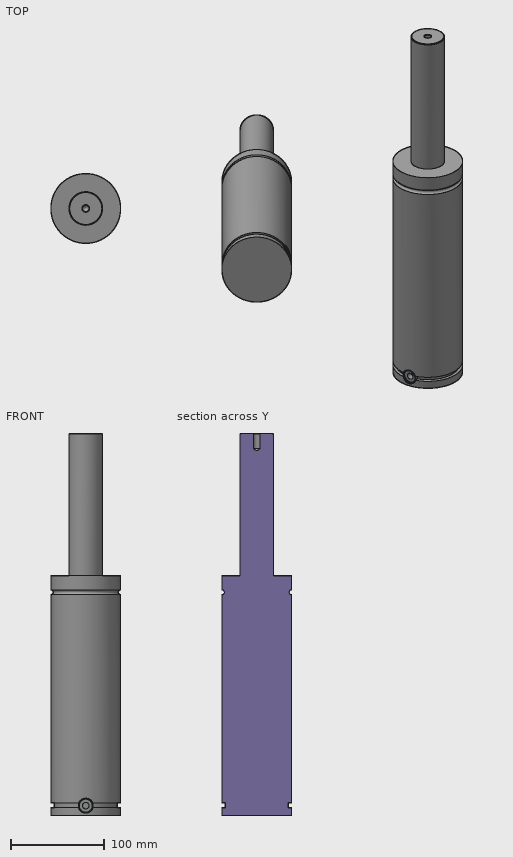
import cadquery as cq
import math

total_height = 410.0
body_diameter = 75.0
body_height = 257.5
rod_diameter = 36.0
rod_chamfer = 1.0

head_height = 15.5
round_groove_radius = 2.5

base_height = 8.5
base_groove_height = 5.0
base_groove_diameter = 67.5

port_diameter = 16.0
port_recess_diameter = 14.0
port_recess_depth = 1.2
port_hole_diameter = 7.0
port_hole_depth = 8.0
port_face_y = -36.5
port_z = 10.5

rod_hole_diameter = 7.0
rod_hole_mouth_diameter = 8.0
rod_hole_depth = 16.5
drill_point_angle = 118.0


def make_cylinder_and_rod():
    """Revolve the stepped outline, including both grooves, about Z."""
    body_radius = body_diameter / 2
    rod_radius = rod_diameter / 2
    base_groove_radius = base_groove_diameter / 2
    base_groove_top = base_height + base_groove_height
    round_groove_top = body_height - head_height
    round_groove_middle = round_groove_top - round_groove_radius
    round_groove_bottom = round_groove_middle - round_groove_radius
    outline = (
        cq.Workplane("XZ")
        .lineTo(body_radius, 0)
        .lineTo(body_radius, base_height)
        .lineTo(base_groove_radius, base_height)
        .lineTo(base_groove_radius, base_groove_top)
        .lineTo(body_radius, base_groove_top)
        .lineTo(body_radius, round_groove_bottom)
        .threePointArc(
            (body_radius - round_groove_radius, round_groove_middle),
            (body_radius, round_groove_top),
        )
        .lineTo(body_radius, body_height)
        .lineTo(rod_radius, body_height)
        .lineTo(rod_radius, total_height - rod_chamfer)
        .lineTo(rod_radius - rod_chamfer, total_height)
        .lineTo(0, total_height)
        .close()
    )
    return outline.revolve(360, (0, 0), (0, 1))


def port_cylinder(diameter, start_y, end_y):
    """Cylinder on the port axis, running toward +Y from start_y to end_y."""
    return (
        cq.Workplane("XZ", origin=(0, start_y, port_z))
        .circle(diameter / 2)
        .extrude(start_y - end_y)
    )


def add_port(part):
    """Clear a round pocket and fill it with a plug that has a recess and a central hole."""
    plug_root_y = -base_groove_diameter / 2 + port_diameter / 2
    recess_floor_y = port_face_y + port_recess_depth
    hole_floor_y = recess_floor_y + port_hole_depth
    pocket = port_cylinder(port_diameter, -body_diameter / 2, port_face_y)
    plug = port_cylinder(port_diameter, port_face_y, plug_root_y)
    recess = port_cylinder(port_recess_diameter, port_face_y, recess_floor_y)
    hole = port_cylinder(port_hole_diameter, recess_floor_y, hole_floor_y)
    return part.cut(pocket).union(plug).cut(recess).cut(hole)


def cut_rod_hole(part):
    """Drill the rod end: countersunk mouth, straight wall and conical tip."""
    hole_radius = rod_hole_diameter / 2
    mouth_radius = rod_hole_mouth_diameter / 2
    mouth_depth = mouth_radius - hole_radius
    tip_height = hole_radius / math.tan(math.radians(drill_point_angle / 2))
    floor_z = total_height - rod_hole_depth
    profile = (
        cq.Workplane("XZ", origin=(0, 0, floor_z))
        .moveTo(0, -tip_height)
        .lineTo(hole_radius, 0)
        .lineTo(hole_radius, rod_hole_depth - mouth_depth)
        .lineTo(mouth_radius, rod_hole_depth)
        .lineTo(0, rod_hole_depth)
        .close()
    )
    return part.cut(profile.revolve(360, (0, 0), (0, 1)))


result = make_cylinder_and_rod()
result = add_port(result)
result = cut_rod_hole(result)